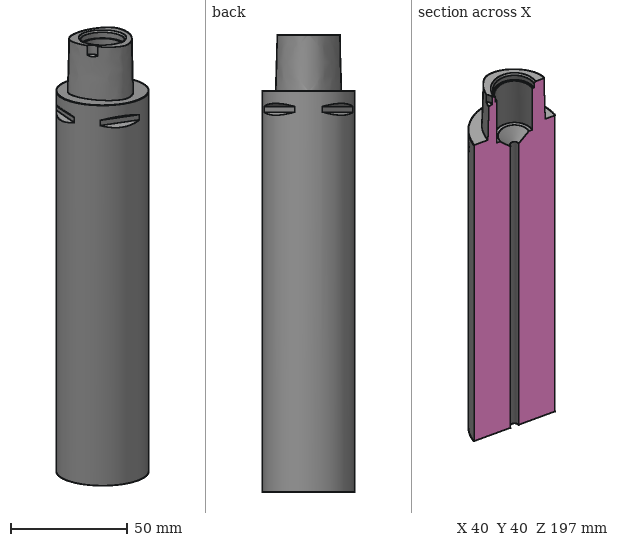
import cadquery as cq
import math

total_length = 197.0
body_radius = 20.0
shank_length = 24.0
body_length = total_length - shank_length
rim_chamfer = 0.2

shank_base_radius = 14.2
shank_tip_radius = 13.5
lobe_height = 1.0
outline_points = 36

mouth_radius = 10.2
mouth_chamfer = 0.8
mouth_depth = 3.3
bore_radius = 8.7
bore_depth = 27.5
seat_radius = 7.0
coolant_radius = 2.0
cone_length = seat_radius - coolant_radius

slot_radius = 2.8
slot_centre_y = -13.8
slot_depth = 4.1
slot_tip_height = 1.0

groove_count = 4
groove_first_angle = 45.0
groove_floor_distance = 17.7
groove_floor_height = 2.4
groove_mouth_height = 5.1
groove_drop = 8.0


def lobed_point(angle, mean_radius):
    """Point on a constant-width three-lobed curve with one lobe toward +Y."""
    along = mean_radius * math.cos(angle) + lobe_height * (2 * math.cos(2 * angle) - math.cos(4 * angle))
    across = mean_radius * math.sin(angle) - lobe_height * (2 * math.sin(2 * angle) + math.sin(4 * angle))
    return (-across, along)


def lobed_outline(mean_radius):
    angles = [2 * math.pi * i / outline_points for i in range(outline_points)]
    return [lobed_point(angle, mean_radius) for angle in angles]


def make_body():
    body = cq.Workplane("XY").circle(body_radius).extrude(body_length)
    return body.faces(">Z").edges().chamfer(rim_chamfer)


def make_shank():
    base = cq.Workplane("XY").workplane(offset=body_length).spline(
        lobed_outline(shank_base_radius), periodic=True
    )
    tip = base.close().workplane(offset=shank_length).spline(
        lobed_outline(shank_tip_radius), periodic=True
    )
    return tip.close().loft(ruled=True)


def make_bore():
    """Revolved cutter: mouth, main bore, conical seat and through hole."""
    inner_mouth_radius = mouth_radius - mouth_chamfer
    mouth_bottom = total_length - mouth_depth
    bore_bottom = total_length - bore_depth
    profile = [
        (0, 0),
        (coolant_radius, 0),
        (coolant_radius, bore_bottom - cone_length),
        (seat_radius, bore_bottom),
        (bore_radius, bore_bottom),
        (bore_radius, mouth_bottom),
        (inner_mouth_radius, mouth_bottom),
        (inner_mouth_radius, total_length - mouth_chamfer),
        (mouth_radius, total_length),
        (0, total_length),
    ]
    return cq.Workplane("XZ").polyline(profile).close().revolve(360, (0, 0), (0, 1))


def make_key_slot():
    """Vertical drill shape, cylinder with a shallow conical tip, breaking out at -Y."""
    slot_bottom = total_length - slot_depth
    profile = [
        (0, slot_bottom - slot_tip_height),
        (slot_radius, slot_bottom),
        (slot_radius, total_length),
        (0, total_length),
    ]
    cutter = cq.Workplane("XZ").polyline(profile).close().revolve(360, (0, 0), (0, 1))
    return cutter.translate((0, slot_centre_y, 0))


def make_groove(angle):
    """Straight cutter with a flat floor and flared walls, turned to the given angle."""
    centre = body_length - groove_drop
    half_floor = groove_floor_height / 2
    half_mouth = groove_mouth_height / 2
    profile = [
        (groove_floor_distance, centre - half_floor),
        (body_radius, centre - half_mouth),
        (body_radius, centre + half_mouth),
        (groove_floor_distance, centre + half_floor),
    ]
    cutter = cq.Workplane("XZ").polyline(profile).close().extrude(body_radius, both=True)
    return cutter.rotate((0, 0, 0), (0, 0, 1), angle)


result = make_body().union(make_shank()).cut(make_bore()).cut(make_key_slot())
for index in range(groove_count):
    result = result.cut(make_groove(groove_first_angle + index * 360 / groove_count))